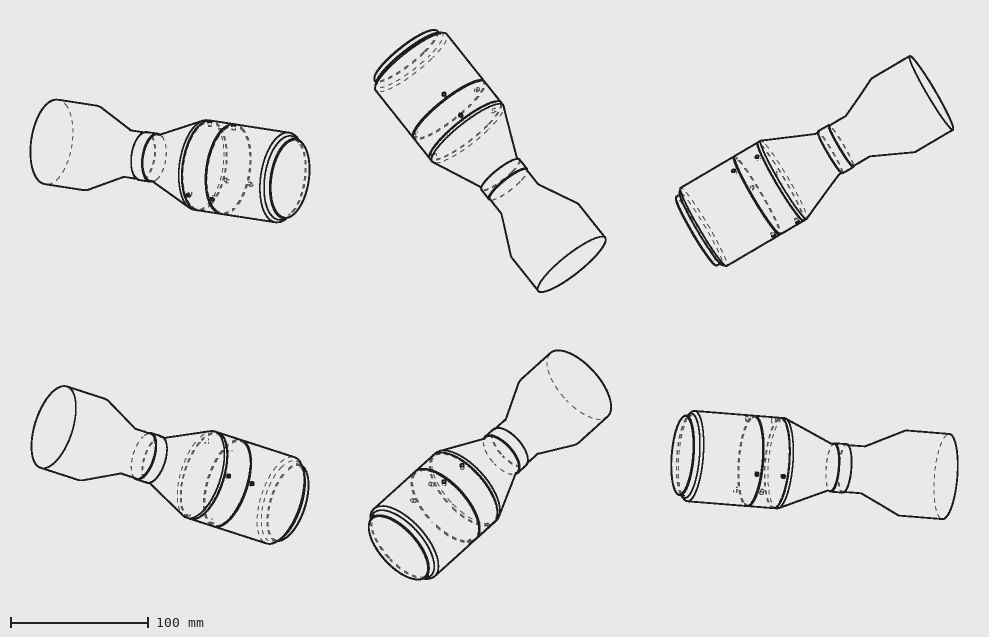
import cadquery as cq
import math

length = 199.3
front_face = -length / 2
rear_face = length / 2
front_barrel_end = front_face + 32.3
neck_start = front_face + 62.2
ring_start = front_face + 76.1
ring_end = front_face + 85.9
neck_end = front_face + 88.3
body_start = front_face + 125.0
front_seam = front_face + 127.5
middle_seam = front_face + 147.5
body_end = rear_face - 4.4

body_diameter = 66.0
body_radius = body_diameter / 2
front_barrel_radius = 31.0
neck_radius = 17.1
ring_radius = 17.7
lip_radius = 29.0

lip_chamfer = 0.5
body_chamfer = 2.2
cone_blend_radius = 1.4
ring_chamfer = 0.4
lip_root_fillet = 0.5

groove_depth = 1.0
narrow_groove = 0.2
wide_groove = 0.5

full_turn = 360

match_tolerance = 0.02

screw_hole_diameter = 2.5
screw_hole_depth = 3.0
screw_hole_count = 3
first_hole_angle = 87.0
screw_hole_setback = 3.4


def turned_body():
    """Outer shape turned around the X axis."""
    profile = [
        (front_face, 0),
        (front_face, front_barrel_radius),
        (front_barrel_end, front_barrel_radius),
        (neck_start, neck_radius),
        (ring_start, neck_radius),
        (ring_start + ring_chamfer, ring_radius),
        (ring_end - ring_chamfer, ring_radius),
        (ring_end, neck_radius),
        (neck_end, neck_radius),
        (body_start, body_radius),
        (body_end - body_chamfer, body_radius),
        (body_end, body_radius - body_chamfer),
        (body_end, lip_radius),
        (rear_face - lip_chamfer, lip_radius),
        (rear_face, lip_radius - lip_chamfer),
        (rear_face, 0),
    ]
    return cq.Workplane("XY").polyline(profile).close().revolve(full_turn, (0, 0, 0), (1, 0, 0))


def circle_edge(body, station, radius):
    """The circular edge of the body with this radius at this X station."""

    def matches(edge):
        same_station = abs(edge.Center().x - station) < match_tolerance
        return edge.geomType() == "CIRCLE" and same_station and abs(edge.radius() - radius) < match_tolerance

    return body.edges().filter(matches)


def ring_groove(center, width, outer_radius):
    """Ring that cuts a square groove into a cylinder around the X axis."""
    return (
        cq.Workplane("YZ", origin=(center - width / 2, 0, 0))
        .circle(outer_radius + groove_depth)
        .circle(outer_radius - groove_depth)
        .extrude(width)
    )


def screw_hole(station, angle):
    """Radial blind hole at an angle measured from +Y toward +Z."""
    direction = cq.Vector(0, math.cos(math.radians(angle)), math.sin(math.radians(angle)))
    bottom = cq.Vector(station, 0, 0) + direction * (body_radius - screw_hole_depth)
    return cq.Solid.makeCylinder(screw_hole_diameter / 2, 2 * screw_hole_depth, bottom, direction)


result = turned_body()

cone_corners = [
    (front_barrel_end, front_barrel_radius),
    (neck_start, neck_radius),
    (neck_end, neck_radius),
]
for corner_station, corner_radius in cone_corners:
    result = circle_edge(result, corner_station, corner_radius).fillet(cone_blend_radius)
result = circle_edge(result, body_end, lip_radius).fillet(lip_root_fillet)

result = result.cut(ring_groove(front_seam, narrow_groove, body_radius))
result = result.cut(ring_groove(middle_seam, wide_groove, body_radius))
for seam in (front_seam, middle_seam):
    for index in range(screw_hole_count):
        hole_angle = first_hole_angle + index * full_turn / screw_hole_count
        result = result.cut(cq.Workplane(screw_hole(seam + screw_hole_setback, hole_angle)))